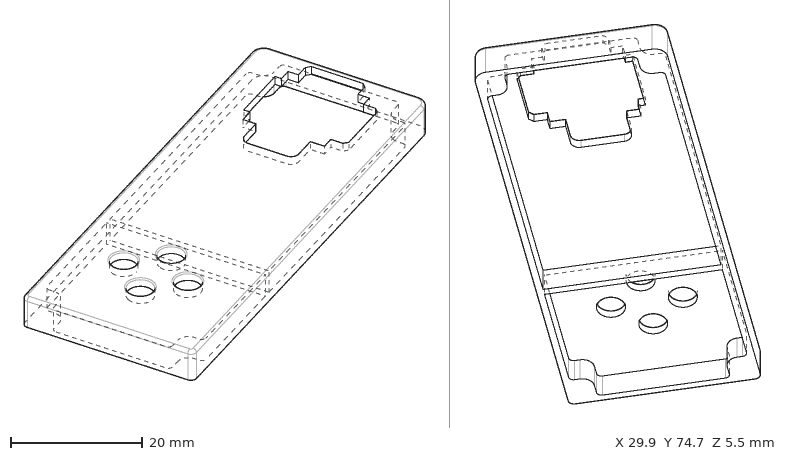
import cadquery as cq

width = 29.9
length = 74.65
height = 5.5
wall = 1.1
top_thickness = 1.5
north_corner_radius = 2.0
south_corner_radius = 1.0
top_edge_fillet = 0.6

post_radius = 1.9
post_center_inset_x = 2.75
post_center_inset_y = 3.4
post_blend_radius = 0.75

rib_south_face_y = -12.6
rib_thickness = wall

body_west, body_east = -7.55, 6.65
body_south, body_north = 19.0, 33.2
north_tab_west, north_tab_east, north_tab_end = -5.75, 4.6, 36.05
south_tab_west, south_tab_east, south_tab_end = -5.3, 4.2, 14.0
west_tab_south, west_tab_north, west_tab_end = 21.3, 31.1, -8.65
east_tab_south, east_tab_north, east_tab_end = 21.05, 31.35, 9.4
tab_corner_chamfer = 0.7
south_tab_corner_radius = 1.35

button_diameter = 4.4
button_edge_fillet = 0.2
button_center_x, button_center_y = -0.3, -21.6
button_offset_x, button_offset_y = 5.6, 4.85

cavity_depth = height - top_thickness
cavity_width = width - 2 * wall
cavity_length = length - 2 * wall
post_west = width / 2 - post_center_inset_x - post_radius
post_south = length / 2 - post_center_inset_y - post_radius


def block(west, east, south, north, depth):
    """Block standing on the base plane, given by its edges in plan."""
    return (
        cq.Workplane("XY")
        .box(east - west, north - south, depth, centered=False)
        .translate((west, south, 0))
    )


def make_body():
    body = cq.Workplane("XY").box(width, length, height, centered=(True, True, False))
    body = body.edges("|Z and >Y").fillet(north_corner_radius)
    body = body.edges("|Z and <Y").fillet(south_corner_radius)
    return body.faces(">Z").edges().fillet(top_edge_fillet)


def make_corner_post():
    """North-east post block, rounded on the corner that faces the cavity."""
    post = block(post_west, cavity_width / 2, post_south, cavity_length / 2, cavity_depth)
    return post.edges("|Z and <X and <Y").fillet(post_radius)


def make_cavity():
    cavity = cq.Workplane("XY").box(
        cavity_width, cavity_length, cavity_depth, centered=(True, True, False)
    )
    north_east = make_corner_post()
    north_west = north_east.mirror("YZ")
    for post in (north_east, north_west):
        cavity = cavity.cut(post).cut(post.mirror("XZ"))

    for side_x in (-1, 1):
        for side_y in (-1, 1):
            for x, y in ((post_west, cavity_length / 2), (cavity_width / 2, post_south)):
                junction = (side_x * x, side_y * y, cavity_depth / 2)
                cavity = cavity.edges(cq.NearestToPointSelector(junction)).fillet(post_blend_radius)

    rib = block(
        -cavity_width / 2,
        cavity_width / 2,
        rib_south_face_y,
        rib_south_face_y + rib_thickness,
        cavity_depth,
    )
    return cavity.cut(rib)


def make_window():
    """Cutter for the window; it is only as deep as the top plate."""
    north_tab = block(north_tab_west, north_tab_east, body_south, north_tab_end, top_thickness)
    south_tab = block(south_tab_west, south_tab_east, south_tab_end, body_north, top_thickness)
    west_tab = block(west_tab_end, body_east, west_tab_south, west_tab_north, top_thickness)
    east_tab = block(body_west, east_tab_end, east_tab_south, east_tab_north, top_thickness)
    window = block(body_west, body_east, body_south, body_north, top_thickness)
    window = window.union(north_tab.edges("|Z and >Y").chamfer(tab_corner_chamfer))
    window = window.union(south_tab.edges("|Z and <Y").fillet(south_tab_corner_radius))
    window = window.union(west_tab)
    window = window.union(east_tab.edges("|Z and >X").chamfer(tab_corner_chamfer))
    return window.translate((0, 0, cavity_depth))


def make_button_cutter():
    """Round hole through the top plate with a rounded upper rim."""
    radius = button_diameter / 2
    rim_radius = radius + button_edge_fillet
    arc_start = (radius, height - button_edge_fillet)
    profile = (
        cq.Workplane("XZ")
        .moveTo(0, cavity_depth)
        .lineTo(radius, cavity_depth)
        .lineTo(*arc_start)
        .radiusArc((rim_radius, height), button_edge_fillet)
        .lineTo(0, height)
        .close()
    )
    return profile.revolve(360, (0, 0, 0), (0, 1, 0))


result = make_body().cut(make_cavity()).cut(make_window())

button_cutter = make_button_cutter()
for step_x, step_y in ((-1, 0), (1, 0), (0, -1), (0, 1)):
    button_x = button_center_x + step_x * button_offset_x
    button_y = button_center_y + step_y * button_offset_y
    result = result.cut(button_cutter.translate((button_x, button_y, 0)))